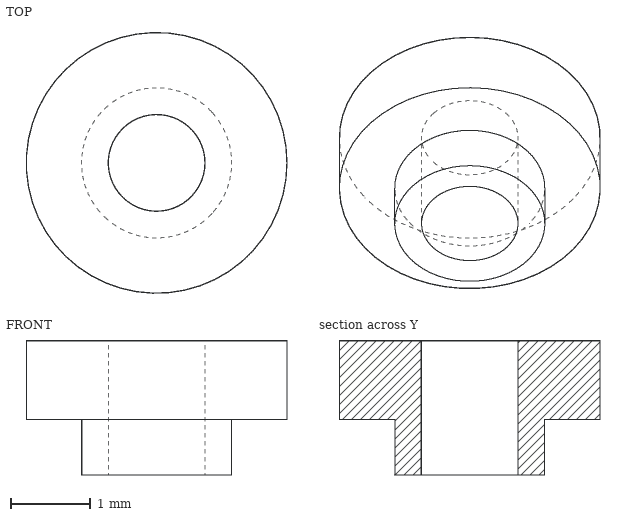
import cadquery as cq

flange_diameter = 3.3
flange_thickness = 1.0
sleeve_diameter = 1.9
sleeve_length = 0.7
bore_diameter = 1.22

total_height = sleeve_length + flange_thickness


def cylinder(diameter, height, base_z=0.0):
    """Solid cylinder on the Z axis, rising from base_z."""
    return cq.Workplane("XY").workplane(offset=base_z).circle(diameter / 2).extrude(height)


sleeve = cylinder(sleeve_diameter, sleeve_length)
flange = cylinder(flange_diameter, flange_thickness, base_z=sleeve_length)
through_bore = cylinder(bore_diameter, total_height)

result = sleeve.union(flange).cut(through_bore)